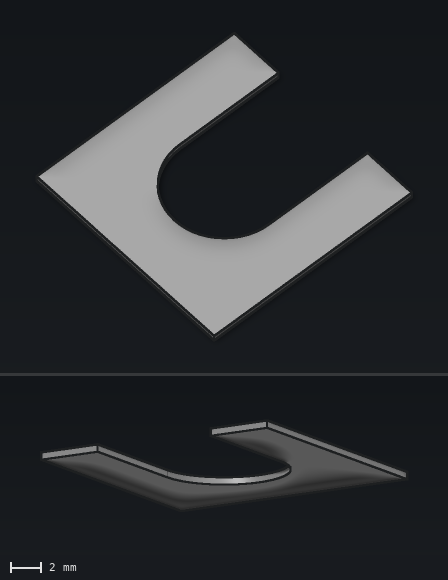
import cadquery as cq

side = 17.27
thickness = 0.5
slot_width = side / 2
slot_radius = slot_width / 2
half_side = side / 2


def make_plate():
    """Square plate centred on the origin in X and Y, resting on Z = 0."""
    return cq.Workplane("XY").rect(side, side).extrude(thickness)


def make_slot():
    """Slot cutter: half-round end centred on the plate, straight walls to the +Y edge."""
    return (
        cq.Workplane("XY")
        .moveTo(-slot_radius, half_side)
        .lineTo(-slot_radius, 0)
        .threePointArc((0, -slot_radius), (slot_radius, 0))
        .lineTo(slot_radius, half_side)
        .close()
        .extrude(thickness)
    )


result = make_plate().cut(make_slot())